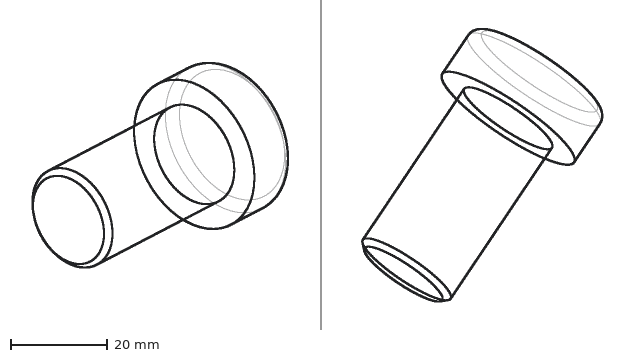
import cadquery as cq

total_length = 52.0
head_diameter = 33.0
head_thickness = 12.0
head_edge_radius = 2.1
shank_diameter = 22.0
shank_chamfer = 1.25

shank_length = total_length - head_thickness

head = cq.Workplane("XZ").circle(head_diameter / 2).extrude(head_thickness)
head = head.faces(">Y").edges().fillet(head_edge_radius)

shank = (
    cq.Workplane("XZ", origin=(0, -head_thickness, 0))
    .circle(shank_diameter / 2)
    .extrude(shank_length)
)
shank = shank.faces("<Y").edges().chamfer(shank_chamfer)

result = head.union(shank)